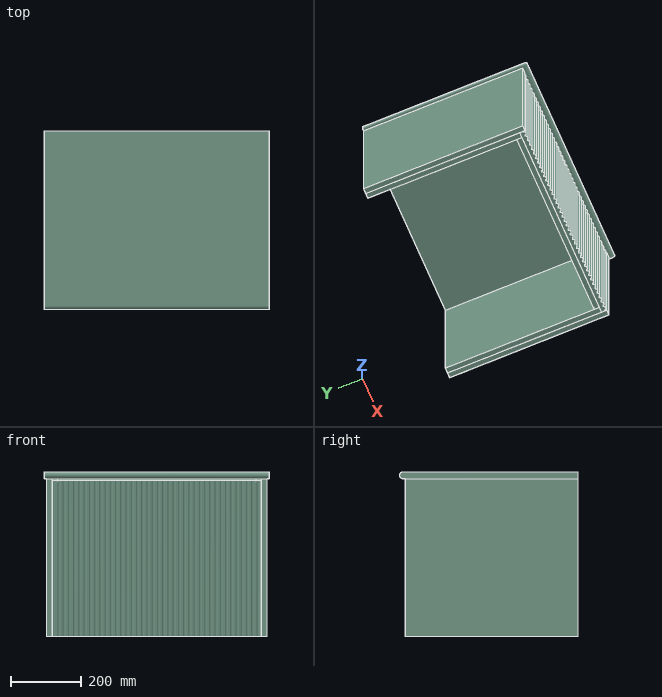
import cadquery as cq
import math

top_width = 642.0
top_depth = 510.0
total_height = 470.0
top_thickness = 20.0
edge_round = 1.0
front_overhang = 16.0

board = 16.0
carcass_width = 630.0
carcass_height = total_height - top_thickness
back_y = top_depth / 2
front_edge_y = -top_depth / 2
carcass_front_y = front_edge_y + front_overhang
carcass_depth = back_y - carcass_front_y

front_gap_above = 5.0
front_width = carcass_width - 2 * board
front_height = carcass_height - front_gap_above

flute_count = 40
flute_pitch = front_width / flute_count
flank_angle = math.radians(70)
valley_half_width = 1.75
flute_half_width = flute_pitch / 2 - valley_half_width
flute_radius = flute_half_width / math.sin(flank_angle)
valley_radius = valley_half_width / math.sin(flank_angle)
tangent_y = carcass_front_y + flute_radius * (1 - math.cos(flank_angle))
valley_y = tangent_y + valley_radius * (1 - math.cos(flank_angle))
end_flank_y = carcass_front_y + flute_radius

inner_front_y = carcass_front_y + board
inner_depth = back_y - inner_front_y
inner_front_width = front_width - 2 * board


def make_top():
    """Slab with a full round along its front edge and small rounds on its other edges."""
    radius = top_thickness / 2
    arc_y = front_edge_y + radius
    profile = (
        cq.Workplane("YZ", origin=(-top_width / 2, 0, 0))
        .moveTo(back_y, carcass_height)
        .lineTo(arc_y, carcass_height)
        .threePointArc((front_edge_y, carcass_height + radius), (arc_y, total_height))
        .lineTo(back_y, total_height)
        .close()
    )
    return profile.extrude(top_width).faces("<X or >X or >Y").edges().fillet(edge_round)


def make_board(left, front, width, depth):
    """Upright board as tall as the carcass."""
    return cq.Workplane("XY").box(width, depth, carcass_height, centered=False).translate((left, front, 0))


def add_valley(outline, center):
    """Concave valley drawn as two mirrored arcs that meet at its lowest line."""
    middle_x = valley_radius * math.sin(flank_angle / 2)
    middle_y = valley_y - valley_radius * (1 - math.cos(flank_angle / 2))
    outline = outline.threePointArc((center - middle_x, middle_y), (center, valley_y))
    return outline.threePointArc((center + middle_x, middle_y), (center + valley_half_width, tangent_y))


def make_fluted_front():
    """Board with a row of upright flutes; the outermost flanks run down to narrow flats."""
    half_width = front_width / 2
    first_center = -half_width + flute_pitch / 2
    last_center = half_width - flute_pitch / 2
    outline = (
        cq.Workplane("XY")
        .moveTo(-half_width, inner_front_y)
        .lineTo(-half_width, end_flank_y)
        .lineTo(first_center - flute_radius, end_flank_y)
    )
    for index in range(flute_count - 1):
        center = first_center + index * flute_pitch
        outline = outline.threePointArc((center, carcass_front_y), (center + flute_half_width, tangent_y))
        outline = add_valley(outline, center + flute_pitch / 2)
    outline = (
        outline.threePointArc((last_center, carcass_front_y), (last_center + flute_radius, end_flank_y))
        .lineTo(half_width, end_flank_y)
        .lineTo(half_width, inner_front_y)
        .close()
    )
    return outline.extrude(front_height, clean=False)


top = make_top()
fluted_front = make_fluted_front()
outer_sides = [
    make_board(left, carcass_front_y, board, carcass_depth)
    for left in (-carcass_width / 2, carcass_width / 2 - board)
]
inner_sides = [
    make_board(left, inner_front_y, board, inner_depth)
    for left in (-front_width / 2, front_width / 2 - board)
]
inner_front = make_board(-inner_front_width / 2, inner_front_y, inner_front_width, board)

result = cq.Compound.makeCompound(
    [top.solids().val(), fluted_front.val(), inner_front.val()] + [side.val() for side in outer_sides + inner_sides]
)